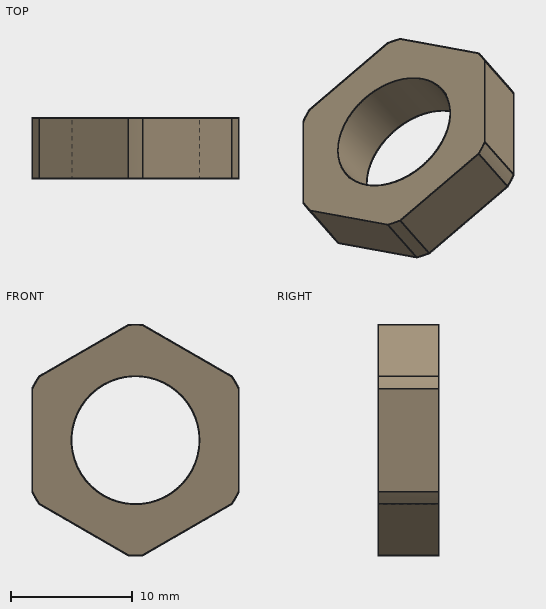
import cadquery as cq
import math

corner_diameter = 19.0
across_flats = 17.0
thickness = 5.0
bore_diameter = 10.5

sharp_corner_diameter = across_flats / math.cos(math.pi / 6)
hexagon = (
    cq.Workplane("XZ")
    .transformed(rotate=(0, 0, 30))
    .polygon(6, sharp_corner_diameter)
    .extrude(thickness / 2, both=True)
)

round_bar = cq.Workplane("XZ").circle(corner_diameter / 2).extrude(thickness / 2, both=True)

bore = cq.Workplane("XZ").circle(bore_diameter / 2).extrude(thickness / 2, both=True)

result = hexagon.intersect(round_bar).cut(bore)